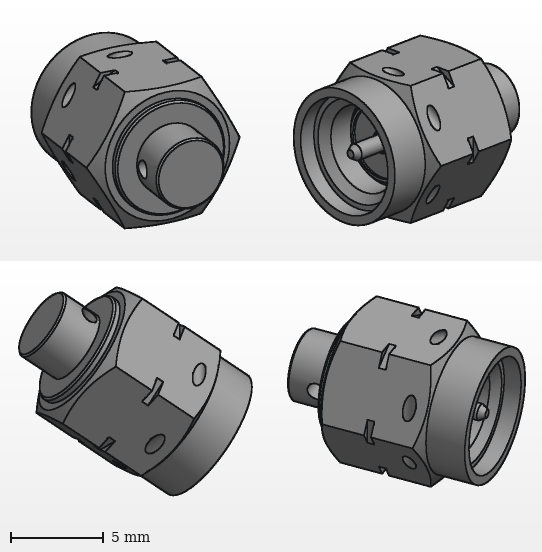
import cadquery as cq
import math


total_length = 11.4
hex_flats = 8.0
hex_corner_radius = hex_flats / math.sqrt(3)
hex_start = 2.3
hex_end = 8.61
chamfer_slope = math.tan(math.radians(60))
collar_radius = 3.85
hex_rear_radius = 3.75

notch_start = 5.21
notch_width = 0.41
notch_floor_distance = 4.18

wire_hole_diameter = 0.72
wire_hole_offset = 3.59
wire_hole_places = [(0, 3.41), (120, 3.47), (240, 3.41)]

flange_radius = 3.31
flange_end = 9.01
flange_chamfer = 0.11
ferrule_radius = 2.04
ferrule_chamfer = 0.1
cross_hole_diameter = 1.0
cross_hole_x = 9.69

mouth_radius = 3.32
mouth_depth = 1.0
lead_in_radius = 3.0
bore_radius = 2.5
lead_in_end = 1.48
bore_depth = 3.0

disc_radius = 2.3
disc_face_x = 2.7
disc_chamfer = 0.09
insulator_radius = 2.04
insulator_recess = 0.15
pin_radius = 0.47
pin_tip_radius = 0.24
pin_tip_x = 0.48
pin_taper_length = 0.39
pin_clearance_radius = 0.65


def revolve_about_x(profile):
    """Revolve a closed (x, radius) profile a full turn about the X axis."""
    return cq.Workplane("XY").polyline(profile).close().revolve(360, (0, 0, 0), (1, 0, 0))


def rod(x_start, x_end, radius):
    """Plain cylinder along X."""
    return cq.Workplane("YZ", origin=(x_start, 0, 0)).circle(radius).extrude(x_end - x_start)


def hexagonal_nut():
    """Hexagon with corners on +-Y, both ends turned to cones at 60 degrees to the axis."""
    length = hex_end - hex_start
    blank = (
        cq.Workplane("YZ", origin=(hex_start, 0, 0))
        .polygon(6, 2 * hex_corner_radius)
        .extrude(length)
    )
    front_run = (hex_corner_radius - collar_radius) / chamfer_slope
    rear_run = (hex_corner_radius - hex_rear_radius) / chamfer_slope
    turned_envelope = revolve_about_x([
        (hex_start, 0),
        (hex_start, collar_radius),
        (hex_start + front_run, hex_corner_radius),
        (hex_end - rear_run, hex_corner_radius),
        (hex_end, hex_rear_radius),
        (hex_end, 0),
    ])
    return blank.intersect(turned_envelope)


def corner_notches():
    """Flat-bottomed notches, one square to each corner of the hexagon."""
    notch_depth = hex_corner_radius - notch_floor_distance
    notch = cq.Workplane("XY").box(
        notch_width, notch_depth, hex_flats / 2, centered=(False, False, True)
    ).translate((notch_start, notch_floor_distance, 0))
    notches = cq.Workplane("XY")
    for corner in range(6):
        notches = notches.add(notch.rotate((0, 0, 0), (1, 0, 0), 60 * corner))
    return notches.combine()


def wire_holes():
    """Drillings across every second corner of the nut."""
    holes = cq.Workplane("XY")
    for corner_angle, x in wire_hole_places:
        hole = (
            cq.Workplane("XY")
            .center(x, wire_hole_offset)
            .circle(wire_hole_diameter / 2)
            .extrude(hex_flats / 2, both=True)
        )
        holes = holes.add(hole.rotate((0, 0, 0), (1, 0, 0), corner_angle))
    return holes.combine()


def rear_end():
    """Chamfered flange and ferrule behind the nut, with the cross hole."""
    flange = rod(hex_end, flange_end, flange_radius).faces(">X").chamfer(flange_chamfer)
    ferrule = rod(hex_end, total_length, ferrule_radius).faces(">X").chamfer(ferrule_chamfer)
    cross_hole = (
        cq.Workplane("XZ")
        .center(cross_hole_x, 0)
        .circle(cross_hole_diameter / 2)
        .extrude(ferrule_radius, both=True)
    )
    return flange.union(ferrule).cut(cross_hole)


def socket():
    """Stepped mouth, conical lead-in and bore."""
    return revolve_about_x([
        (0, 0),
        (0, mouth_radius),
        (mouth_depth, mouth_radius),
        (mouth_depth, lead_in_radius),
        (lead_in_end, bore_radius),
        (bore_depth, bore_radius),
        (bore_depth, 0),
    ])


def contact():
    """Chamfered disc with recessed insulator face, and the tapered pin in its clearance hole."""
    insulator_face_x = disc_face_x + insulator_recess
    disc = rod(disc_face_x, bore_depth, disc_radius).faces("<X").chamfer(disc_chamfer)
    disc = disc.cut(rod(disc_face_x, insulator_face_x, insulator_radius))
    disc = disc.cut(rod(disc_face_x, bore_depth, pin_clearance_radius))
    pin = revolve_about_x([
        (pin_tip_x, 0),
        (pin_tip_x, pin_tip_radius),
        (pin_tip_x + pin_taper_length, pin_radius),
        (bore_depth, pin_radius),
        (bore_depth, 0),
    ])
    return disc.union(pin)


result = (
    rod(0, hex_start, collar_radius)
    .union(hexagonal_nut())
    .cut(corner_notches())
    .cut(wire_holes())
    .union(rear_end())
    .cut(socket())
    .union(contact())
)